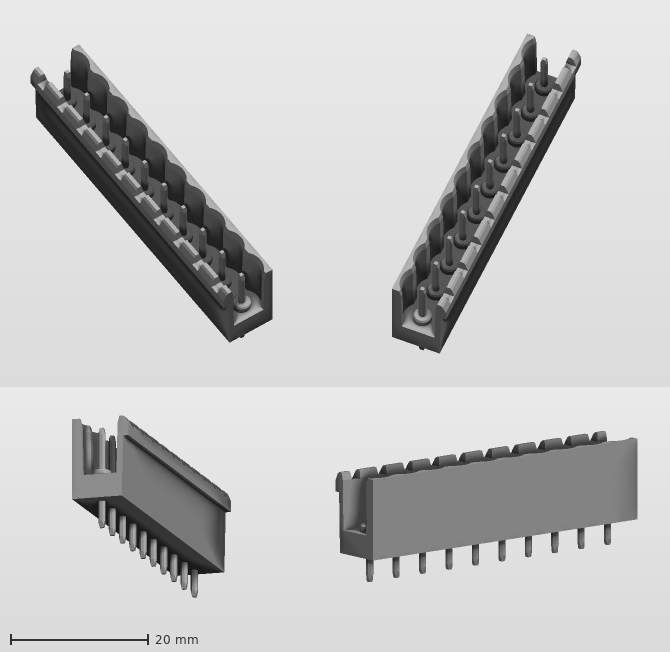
import cadquery as cq
import math

pin_count = 10
pitch = 5.0
length = pin_count * pitch
pin_places = [(i - (pin_count - 1) / 2) * pitch for i in range(pin_count)]

body_height = 12.0
back_y = 3.8
front_foot_y = -3.8
front_neck_y = -4.0
lip_y = -4.8
lip_bottom_z = 9.0
lip_slope_drop = 1.3
lip_bevel_drop = 0.3
lip_bevel_y = -4.32
front_crest_y = -4.02

floor_z = 3.5
mouth_drop = 1.1
wall_draft = 0.15
mouth_flare = 0.27
pocket_front_y = -3.0
land_y = 2.2
scallop_depth = 0.75
scallop_half_width = 1.85
scallop_radius = (scallop_half_width**2 + scallop_depth**2) / (2 * scallop_depth)
scallop_center_y = land_y + scallop_depth - scallop_radius
end_overrun = 2.0

notch_top_width = 1.84
notch_floor_width = 1.4
notch_depth = lip_slope_drop

pin_width = 1.0
pin_corner_chamfer = 0.3
pin_tip_width = 0.55
pin_tip_length = 1.0
pin_bottom_z = -4.0
pin_top_z = 10.95
collar_radius = 1.4
collar_top_z = 4.55
collar_chamfer = 0.22


def make_body():
    """Solid body with the lip along its front wall."""
    outline = [
        (back_y, 0),
        (back_y, body_height),
        (front_crest_y, body_height),
        (lip_bevel_y, body_height - lip_bevel_drop),
        (lip_y, body_height - lip_slope_drop),
        (lip_y, lip_bottom_z),
        (front_neck_y, lip_bottom_z),
        (front_foot_y, 0),
    ]
    return cq.Workplane("YZ").polyline(outline).close().extrude(length / 2, both=True)


def pocket_section(z, growth):
    """Pocket outline at height z, with every wall moved outward by growth."""
    radius = scallop_radius + growth
    land = land_y + growth
    half_width = math.sqrt(radius**2 - (land - scallop_center_y)**2)
    end_x = length / 2 + end_overrun
    front = pocket_front_y - growth
    section = cq.Workplane("XY", origin=(0, 0, z)).moveTo(-end_x, front).lineTo(-end_x, land)
    for x in pin_places:
        section = section.lineTo(x - half_width, land)
        section = section.threePointArc((x, scallop_center_y + radius), (x + half_width, land))
    return section.lineTo(end_x, land).lineTo(end_x, front).close().wires().val()


def make_pocket():
    """Open-ended pocket in two pieces: drafted lower part and flared mouth."""
    floor = pocket_section(floor_z, 0)
    mouth = pocket_section(body_height - mouth_drop, wall_draft)
    top = pocket_section(body_height, wall_draft + mouth_flare)
    lower = cq.Solid.makeLoft([floor, mouth], True)
    upper = cq.Solid.makeLoft([mouth, top], True)
    return lower, upper


def make_notch(x):
    """Tapered notch that cuts forward from Y = 0 through the crest of the front wall."""
    notch_floor_z = body_height - notch_depth
    outline = [
        (x - notch_top_width / 2, body_height),
        (x - notch_floor_width / 2, notch_floor_z),
        (x + notch_floor_width / 2, notch_floor_z),
        (x + notch_top_width / 2, body_height),
    ]
    return cq.Workplane("XZ").polyline(outline).close().extrude(-lip_y)


def pin_tip_envelope(base_z, tip_z):
    """Square pyramid frustum that tapers one end of a pin."""
    return (
        cq.Workplane("XY", origin=(0, 0, base_z)).rect(pin_width, pin_width)
        .workplane(offset=tip_z - base_z).rect(pin_tip_width, pin_tip_width)
        .loft(ruled=True)
    )


def make_pin():
    """Corner-chamfered square pin with tapered ends."""
    shank_bottom_z = pin_bottom_z + pin_tip_length
    shank_top_z = pin_top_z - pin_tip_length
    bar = (
        cq.Workplane("XY", origin=(0, 0, pin_bottom_z)).rect(pin_width, pin_width)
        .extrude(pin_top_z - pin_bottom_z)
        .edges("|Z").chamfer(pin_corner_chamfer)
    )
    envelope = (
        cq.Workplane("XY", origin=(0, 0, shank_bottom_z)).rect(pin_width, pin_width)
        .extrude(shank_top_z - shank_bottom_z)
        .union(pin_tip_envelope(shank_top_z, pin_top_z))
        .union(pin_tip_envelope(shank_bottom_z, pin_bottom_z))
    )
    return bar.intersect(envelope)


def make_collar():
    """Round collar, rooted in the floor, around the foot of a pin."""
    return (
        cq.Workplane("XY").circle(collar_radius).extrude(collar_top_z)
        .faces(">Z").chamfer(collar_chamfer)
    )


result = make_body()
for pocket_part in make_pocket():
    result = result.cut(cq.Workplane(pocket_part))
for place in pin_places:
    result = result.cut(make_notch(place))

contact = make_pin().union(make_collar())
for place in pin_places:
    result = result.union(contact.translate((place, 0, 0)))